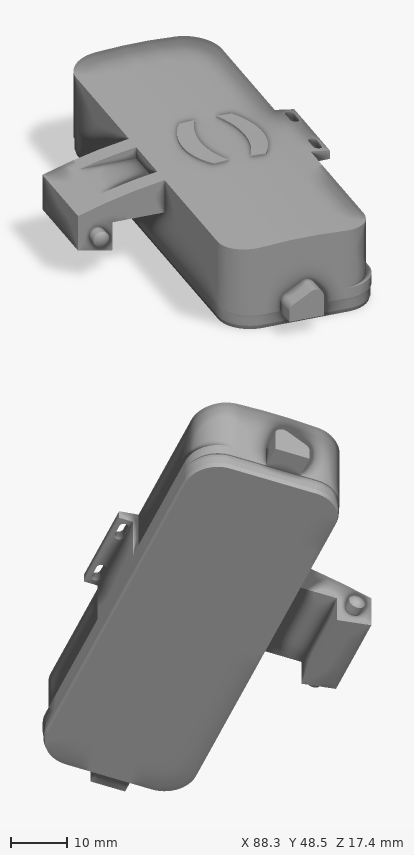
import cadquery as cq
import math

overall_length = 88.3
overall_height = 17.35
crown_height = 17.0
crown_radius = 100.0

base_length = 79.0
base_width = 29.1
base_height = 3.0
base_corner_radius = 6.3
base_chamfer_height = 0.8
base_chamfer_inset = 0.25

body_length = 79.5
body_width = 29.2
body_corner_radius = 6.25
rear_step_height = 5.1
rear_setback = 1.1
body_front = -body_width / 2
body_rear = body_width / 2

lever_width = 16.9
overall_width = 48.5
arm_end = -31.25
rear_tab_end = arm_end + overall_width
rear_tab_underside = 13.8
arm_underside = 9.4
hook_inner_face = -24.6
hook_tip_height = 3.75
hook_end_height = 5.0

pocket_width = 10.0
pocket_floor = 13.65

slot_length = 4.0
slot_width = 1.7
slot_spacing = 10.9
slot_position = 15.6

pin_diameter = 3.0
pin_length = 22.3
pin_dome_height = 0.6
pin_y = -27.65
pin_z = 7.6

peg_rear = 1.57
peg_front = -5.04
peg_front_corner_height = 5.9
peg_slope_angle = 30.0
peg_edge_radius = 1.6

band_half_width = 8.1
band_inner_end = 2.1
band_inner_middle = 4.2
band_outer_end = 5.05
band_outer_middle = 7.7


def crown_z(y, raise_by=0.0):
    """Height of the crown arc at a given Y, optionally on a concentric raised arc."""
    radius = crown_radius + raise_by
    return crown_height - crown_radius + math.sqrt(radius**2 - y**2)


def along_x(profile, length):
    """Extrude a YZ profile symmetrically along X."""
    return profile.extrude(length / 2, both=True)


def rounded_block(length, front, rear, bottom, top, radius):
    """Upright block with rounded vertical corners."""
    width = rear - front
    block = cq.Workplane("XY").box(length, width, top - bottom, centered=(True, True, False))
    return block.edges("|Z").fillet(radius).translate((0, (front + rear) / 2, bottom))


def under_crown(raise_by=0.0):
    """Space below the crown arc, long enough to trim the whole part."""
    profile = (
        cq.Workplane("YZ")
        .moveTo(arm_end, 0)
        .lineTo(arm_end, crown_z(arm_end, raise_by))
        .threePointArc((0, crown_height + raise_by), (-arm_end, crown_z(arm_end, raise_by)))
        .lineTo(-arm_end, 0)
        .close()
    )
    return along_x(profile, overall_length)


def make_base():
    base = rounded_block(
        base_length, -base_width / 2, base_width / 2, 0, base_height, base_corner_radius
    )
    return base.faces("<Z").chamfer(base_chamfer_height, base_chamfer_inset)


def make_body():
    skirt = rounded_block(
        body_length, body_front, body_rear, base_height, rear_step_height, body_corner_radius
    )
    hood = rounded_block(
        body_length, body_front, body_rear - rear_setback, base_height, overall_height, body_corner_radius
    )
    return skirt.union(hood.intersect(under_crown()))


def make_lever():
    profile = (
        cq.Workplane("YZ")
        .moveTo(arm_end, crown_z(arm_end))
        .threePointArc((0, crown_height), (rear_tab_end, crown_z(rear_tab_end)))
        .lineTo(rear_tab_end, rear_tab_underside)
        .lineTo(body_rear, rear_tab_underside)
        .lineTo(body_rear, rear_step_height)
        .lineTo(0, rear_step_height)
        .lineTo(0, arm_underside)
        .lineTo(hook_inner_face, arm_underside)
        .lineTo(hook_inner_face, hook_tip_height)
        .lineTo(arm_end, hook_end_height)
        .close()
    )
    return along_x(profile, lever_width)


def make_pin():
    half_length = pin_length / 2
    radius = pin_diameter / 2
    shoulder = half_length - pin_dome_height
    dome_radius = (radius**2 + pin_dome_height**2) / (2 * pin_dome_height)
    dome_angle = math.asin(radius / dome_radius) / 2
    dome_x = half_length - dome_radius + dome_radius * math.cos(dome_angle)
    dome_r = dome_radius * math.sin(dome_angle)
    profile = (
        cq.Workplane("XY")
        .moveTo(-half_length, 0)
        .threePointArc((-dome_x, dome_r), (-shoulder, radius))
        .lineTo(shoulder, radius)
        .threePointArc((dome_x, dome_r), (half_length, 0))
        .close()
    )
    pin = profile.revolve(360, (0, 0, 0), (1, 0, 0))
    return pin.translate((0, pin_y, pin_z))


def make_pegs():
    """One bar through the body forms the pegs on both sides."""
    slope_rise = (peg_rear - peg_front) * math.tan(math.radians(peg_slope_angle))
    outline = [
        (peg_front, base_height),
        (peg_front, peg_front_corner_height),
        (peg_rear, peg_front_corner_height + slope_rise),
        (peg_rear, base_height),
    ]
    bar = along_x(cq.Workplane("YZ").polyline(outline).close(), overall_length)
    return bar.edges("|X and (not <Z)").fillet(peg_edge_radius)


def make_band(side):
    """Arched band raised above the crown; side is +1 for the rear band, -1 for the front."""
    band_raise = overall_height - crown_z(band_inner_end)
    outline = (
        cq.Workplane("XY")
        .workplane(offset=rear_step_height)
        .moveTo(-band_half_width, side * band_inner_end)
        .threePointArc((0, side * band_inner_middle), (band_half_width, side * band_inner_end))
        .lineTo(band_half_width, side * band_outer_end)
        .threePointArc((0, side * band_outer_middle), (-band_half_width, side * band_outer_end))
        .close()
    )
    return outline.extrude(overall_height).intersect(under_crown(band_raise))


def make_pocket():
    """Flat-floored pocket starting at the body front and running out through the arm's top."""
    pocket_length = body_front - arm_end
    pocket = cq.Workplane("XY").box(
        pocket_width, pocket_length, overall_height - pocket_floor, centered=(True, False, False)
    )
    return pocket.translate((0, arm_end, pocket_floor))


def make_slots():
    return (
        cq.Workplane("XY")
        .pushPoints([(-slot_spacing / 2, slot_position), (slot_spacing / 2, slot_position)])
        .slot2D(slot_length, slot_width)
        .extrude(overall_height)
    )


result = make_base().union(make_body()).union(make_lever())
result = result.cut(make_pocket()).cut(make_slots())
result = result.union(make_pin()).union(make_pegs())
for side in (1, -1):
    result = result.union(make_band(side))